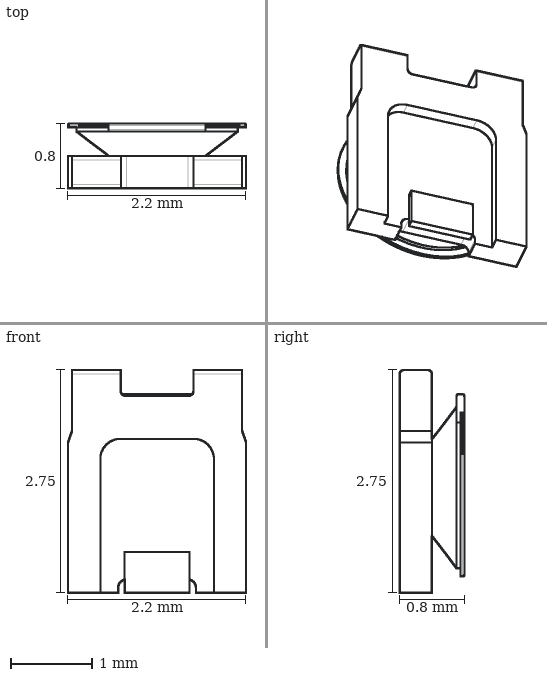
import cadquery as cq

height = 2.75
width = 2.2
housing_depth = 0.4
head_width = 2.1
shoulder_bottom = 1.855
shoulder_top = 2.0
head_edge_radius = 0.05

notch_width = 0.896
notch_floor = 2.425
notch_corner_radius = 0.07

recess_width = 1.402
recess_top = 1.9
recess_depth = 0.15
recess_corner_radius = 0.25

slot_width = 0.957
slot_height = 0.162
slot_corner_radius = 0.1

total_depth = 0.8
disc_radius = width / 2
disc_center_z = 1.298
disc_thickness = 0.05
step_radius = 0.998
step_thickness = 0.05
cone_base_radius = 0.6
rim_radius = 0.025

bar_width = 1.194
bar_top = 2.45

tab_width = 0.8
tab_height = 0.5
tab_thickness = 0.1


def block(size_x, front, back, bottom, top):
    """Box centred on x = 0 between the given y and z limits."""
    return cq.Workplane("XY").box(
        size_x, back - front, top - bottom, centered=(True, False, False)
    ).translate((0, front, bottom))


def housing_block():
    """Block with a narrower head, notched at the top into two rounded horns."""
    right_side = [
        (width / 2, 0),
        (width / 2, shoulder_bottom),
        (head_width / 2, shoulder_top),
        (head_width / 2, height),
    ]
    left_side = [(-x, z) for x, z in reversed(right_side)]
    body = cq.Workplane("XZ").polyline(right_side + left_side).close().extrude(-housing_depth)
    body = body.faces(">Z").edges("|X").fillet(head_edge_radius)
    notch = block(notch_width, 0, housing_depth, notch_floor, height)
    notch = notch.faces("<Z").edges("|Y").fillet(notch_corner_radius)
    return body.cut(notch)


def recess():
    cutter = block(recess_width, 0, recess_depth, 0, recess_top)
    return cutter.faces(">Z").edges("|Y").fillet(recess_corner_radius)


def foot_slot():
    cutter = block(slot_width, 0, housing_depth, 0, slot_height)
    return cutter.faces(">Z").edges("|Y").fillet(slot_corner_radius)


def disc_on_cone():
    """Revolved cone, step and disc, with a rounded rear rim and a bar across the top."""
    disc_front = total_depth - disc_thickness
    step_front = disc_front - step_thickness
    profile = (
        cq.Workplane("XY")
        .moveTo(0, housing_depth)
        .lineTo(cone_base_radius, housing_depth)
        .lineTo(step_radius, step_front)
        .lineTo(step_radius, disc_front)
        .lineTo(disc_radius, disc_front)
        .lineTo(disc_radius, total_depth - rim_radius)
        .radiusArc((disc_radius - rim_radius, total_depth), -rim_radius)
        .lineTo(0, total_depth)
        .close()
    )
    disc = profile.revolve(360, (0, 0), (0, 1)).translate((0, 0, disc_center_z))
    bar = block(bar_width, step_front, total_depth, disc_center_z, bar_top)
    bar = bar.faces(">Z").edges("|X").fillet(rim_radius)
    return disc.union(bar)


def build_housing():
    return housing_block().cut(recess()).cut(foot_slot()).union(disc_on_cone())


def build_tab():
    return block(tab_width, 0, tab_thickness, 0, tab_height)


housing = build_housing()
tab = build_tab()
result = cq.Compound.makeCompound([housing.val(), tab.val()])